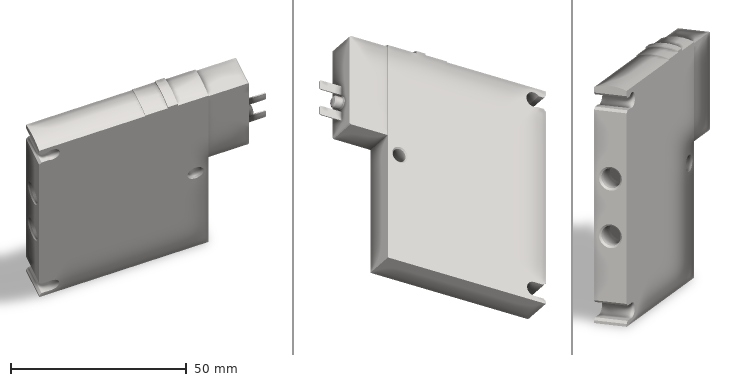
import cadquery as cq


body_width = 10.0
body_depth = 51.9
body_crown_top = 71.0
crown_rise = 0.9

cover_front = 32.5
band_front = 39.5
band_back = 42.5
cover_top = 71.3
band_top = 71.8

notch_chamfer = 0.7
upper_notch_diameter = 4.7
upper_notch_y = 4.0
upper_notch_z = 66.2
upper_lip_z = 67.8
upper_floor_z = 64.1
lower_notch_diameter = 4.5
lower_notch_y = 3.9
lower_notch_z = 3.8

port_diameter = 5.9
port_mouth_diameter = 7.05
port_depth = 7.2
port_heights = (26.35, 43.45)
cross_hole_diameter = 4.2
cross_hole_mouth_diameter = 5.0
cross_hole_y = 47.95
cross_hole_z = 35.05

coil_width = 9.7
coil_back = 64.4
coil_bottom = 40.4
coil_top = 69.6
coil_chamfer = 0.3
blade_thickness = 0.35
blade_height = 2.9
blade_back = 71.5
blade_spacing = 8.4
blade_chamfer = 0.3
connector_z = 49.55
knob_diameter = 3.6
knob_back = 67.2
knob_chamfer = 0.4
knob_collar_diameter = 4.2
knob_collar_length = 0.35


def crowned_block(front, back, top):
    """Full-height block whose top is an arc across the width."""
    half = body_width / 2
    return (
        cq.Workplane("XZ", origin=(0, front, 0))
        .moveTo(-half, 0)
        .lineTo(half, 0)
        .lineTo(half, top - crown_rise)
        .threePointArc((0, top), (-half, top - crown_rise))
        .close()
        .extrude(front - back)
    )


def box_between(width, front, back, bottom, top):
    """Box centred on the width and bounded by its faces in Y and Z."""
    return cq.Workplane("XY").box(
        width, back - front, top - bottom, centered=(True, False, False)
    ).translate((0, front, bottom))


def mounting_notch(y, z, diameter, slot_bottom, slot_top):
    """Round-ended notch, open to the front with chamfered lips."""
    side = cq.Workplane("YZ", origin=(-body_width / 2, 0, 0))
    round_end = side.center(y, z).circle(diameter / 2).extrude(body_width)
    opening = (
        side.moveTo(y, slot_bottom)
        .lineTo(notch_chamfer, slot_bottom)
        .lineTo(0, slot_bottom - notch_chamfer)
        .lineTo(0, slot_top + notch_chamfer)
        .lineTo(notch_chamfer, slot_top)
        .lineTo(y, slot_top)
        .close()
        .extrude(body_width)
    )
    return round_end.union(opening)


def countersunk_bore(start, direction, diameter, mouth_diameter, depth):
    """Bore with a 45 degree countersink at its start."""
    countersink = (mouth_diameter - diameter) / 2
    start = cq.Vector(*start)
    direction = cq.Vector(*direction)
    bore = cq.Solid.makeCylinder(diameter / 2, depth, start, direction)
    mouth = cq.Solid.makeCone(mouth_diameter / 2, diameter / 2, countersink, start, direction)
    return cq.Workplane(obj=bore).union(cq.Workplane(obj=mouth))


def make_body():
    body = crowned_block(0, body_depth, body_crown_top)
    body = body.union(crowned_block(cover_front, band_front, cover_top))
    body = body.union(crowned_block(band_front, band_back, band_top))

    body = body.cut(
        mounting_notch(
            upper_notch_y, upper_notch_z, upper_notch_diameter, upper_floor_z, upper_lip_z
        )
    )
    lower_floor_z = lower_notch_z - lower_notch_diameter / 2
    lower_lip_z = lower_notch_z + lower_notch_diameter / 2
    body = body.cut(
        mounting_notch(
            lower_notch_y, lower_notch_z, lower_notch_diameter, lower_floor_z, lower_lip_z
        )
    )

    for z in port_heights:
        body = body.cut(
            countersunk_bore((0, 0, z), (0, 1, 0), port_diameter, port_mouth_diameter, port_depth)
        )
    for side in (-1, 1):
        start = (side * body_width / 2, cross_hole_y, cross_hole_z)
        body = body.cut(
            countersunk_bore(
                start, (-side, 0, 0), cross_hole_diameter, cross_hole_mouth_diameter, body_width
            )
        )
    return body


def make_solenoid():
    solenoid = box_between(coil_width, body_depth, coil_back, coil_bottom, coil_top)
    solenoid = solenoid.faces(">Y").edges("|X").chamfer(coil_chamfer)

    for side in (-1, 1):
        middle = connector_z + side * blade_spacing / 2
        blade_bottom = middle - blade_height / 2
        blade_top = middle + blade_height / 2
        blade = box_between(blade_thickness, coil_back, blade_back, blade_bottom, blade_top)
        blade = blade.faces(">Y").edges("|X").chamfer(blade_chamfer)
        solenoid = solenoid.union(blade)

    mount = cq.Workplane("XZ", origin=(0, coil_back, connector_z))
    knob = mount.circle(knob_diameter / 2).extrude(coil_back - knob_back)
    knob = knob.faces(">Y").chamfer(knob_chamfer)
    collar = mount.circle(knob_collar_diameter / 2).extrude(-knob_collar_length)
    return solenoid.union(knob).union(collar)


result = make_body().union(make_solenoid())